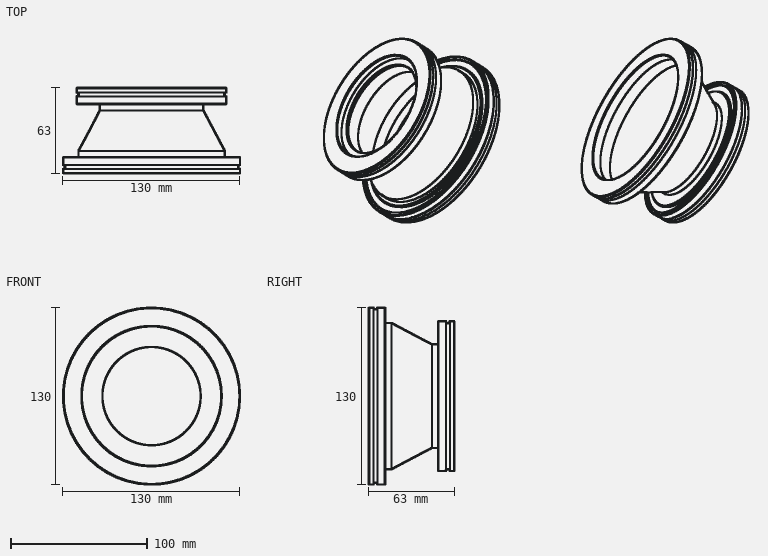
import cadquery as cq
import math

overall_length = 63.0

flange_thickness = 12.2
edge_chamfer = 0.5
rim_groove_radius = 1.4
rim_groove_from_face = 5.0
bore_depth = 7.0
clamp_groove_depth = 1.7
clamp_groove_rim = 2.5
clamp_groove_width = 5.2

large_flange_radius = 65.0
large_pipe_radius = 53.8
large_bore_radius = 51.1

small_flange_radius = 55.0
small_pipe_radius = 38.1
small_bore_radius = 36.0
small_recess_radius = 41.1
small_recess_depth = 5.0

pipe_collar = 4.4
collar_end = flange_thickness + pipe_collar


def revolve_about_y(profile):
    """Turn a closed profile (X = radius, Y = axial position) into a solid."""
    return profile.close().revolve(360, (0, 0, 0), (0, 1, 0))


def make_flange(outer_radius, pipe_radius, bore_radius):
    """Flange with its end face at Y = 0 and its clamped back towards +Y."""
    back = flange_thickness
    chamfer = edge_chamfer
    groove_start = rim_groove_from_face - rim_groove_radius
    groove_end = rim_groove_from_face + rim_groove_radius
    clamp_outer = outer_radius - clamp_groove_rim
    clamp_inner = clamp_outer - clamp_groove_width
    clamp_floor = back - clamp_groove_depth
    profile = (
        cq.Workplane("XY")
        .moveTo(bore_radius + chamfer, 0)
        .lineTo(outer_radius - chamfer, 0)
        .lineTo(outer_radius, chamfer)
        .lineTo(outer_radius, groove_start)
        .threePointArc((outer_radius - rim_groove_radius, rim_groove_from_face), (outer_radius, groove_end))
        .lineTo(outer_radius, back - chamfer)
        .lineTo(outer_radius - chamfer, back)
        .lineTo(clamp_outer, back)
        .lineTo(clamp_outer, clamp_floor)
        .lineTo(clamp_inner, clamp_floor)
        .lineTo(clamp_inner, back - chamfer)
        .lineTo(clamp_inner - chamfer, back)
        .lineTo(pipe_radius, back)
        .lineTo(pipe_radius, bore_depth)
        .lineTo(bore_radius, bore_depth)
        .lineTo(bore_radius, chamfer)
    )
    return revolve_about_y(profile)


def cut_centring_recess(flange):
    """Sink the small flange's recess into its end face, with a chamfered rim."""
    floor = small_recess_depth
    chamfer = edge_chamfer
    recess_profile = (
        cq.Workplane("XY")
        .moveTo(0, 0)
        .lineTo(small_recess_radius + chamfer, 0)
        .lineTo(small_recess_radius, chamfer)
        .lineTo(small_recess_radius, floor)
        .lineTo(0, floor)
    )
    return flange.cut(revolve_about_y(recess_profile))


def make_reducer_pipe():
    """Conical pipe with straight ends that sit in the two flanges."""
    pipe_start = bore_depth
    pipe_end = overall_length - bore_depth
    cone_start = collar_end
    cone_end = overall_length - collar_end
    cone_angle = math.atan2(large_pipe_radius - small_pipe_radius, cone_end - cone_start)
    bend_offset = math.tan(cone_angle / 2)
    inner_cone_start = cone_start - (large_pipe_radius - large_bore_radius) * bend_offset
    inner_cone_end = cone_end - (small_pipe_radius - small_bore_radius) * bend_offset
    profile = (
        cq.Workplane("XY")
        .moveTo(large_bore_radius, pipe_start)
        .lineTo(large_pipe_radius, pipe_start)
        .lineTo(large_pipe_radius, cone_start)
        .lineTo(small_pipe_radius, cone_end)
        .lineTo(small_pipe_radius, pipe_end)
        .lineTo(small_bore_radius, pipe_end)
        .lineTo(small_bore_radius, inner_cone_end)
        .lineTo(large_bore_radius, inner_cone_start)
    )
    return revolve_about_y(profile)


large_flange = make_flange(large_flange_radius, large_pipe_radius, large_bore_radius)

small_flange = (
    cut_centring_recess(make_flange(small_flange_radius, small_pipe_radius, small_bore_radius))
    .rotate((0, 0, 0), (0, 0, 1), 180)
    .translate((0, overall_length, 0))
)

reducer_pipe = make_reducer_pipe()

result = cq.Compound.makeCompound([large_flange.val(), small_flange.val(), reducer_pipe.val()])